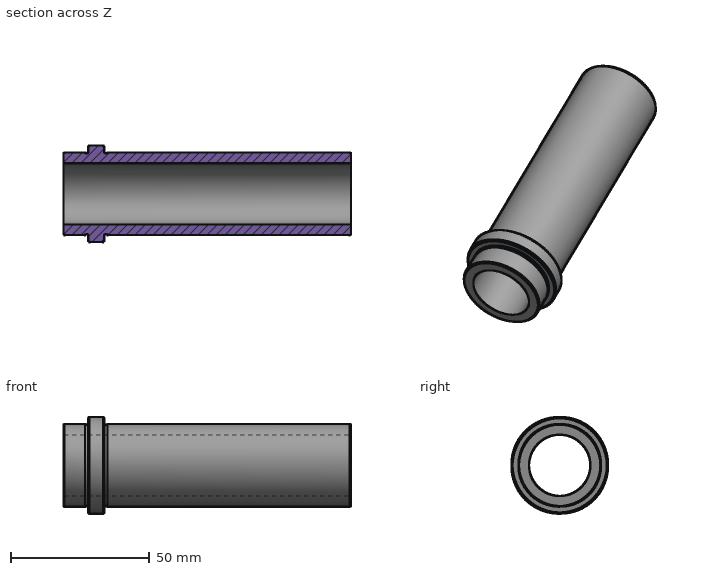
import cadquery as cq

length = 104.0
bore_diameter = 22.0
body_diameter = 30.0
collar_diameter = 35.0

collar_start = 8.9
collar_end = 14.9

groove_depth = 0.3
spigot_groove_width = 1.0
body_groove_width = 1.1

spigot_chamfer = 0.4
collar_chamfer = 0.5
tip_chamfer_length = 0.6
tip_chamfer_height = 0.3

start_x = -length / 2
end_x = length / 2


def cylinder(x_from, x_to, diameter):
    """Solid cylinder about the X axis."""
    return cq.Workplane("YZ", origin=(x_from, 0, 0)).circle(diameter / 2).extrude(x_to - x_from)


def relief_groove(x_collar, x_outer):
    """Revolved groove with a concave arc floor between the collar face and its outer edge."""
    surface_radius = body_diameter / 2
    x_middle = (x_collar + x_outer) / 2
    return (
        cq.Workplane("XY")
        .moveTo(x_collar, surface_radius)
        .threePointArc((x_middle, surface_radius - groove_depth), (x_outer, surface_radius))
        .close()
        .revolve(360, (0, 0, 0), (1, 0, 0))
    )


body = cylinder(start_x, end_x, body_diameter)
body = body.faces("<X").chamfer(spigot_chamfer)
body = body.faces(">X").edges().chamfer(tip_chamfer_length, tip_chamfer_height)

collar_start_x = start_x + collar_start
collar_end_x = start_x + collar_end
body = body.cut(relief_groove(collar_start_x, collar_start_x - spigot_groove_width))
body = body.cut(relief_groove(collar_end_x, collar_end_x + body_groove_width))

collar = cylinder(collar_start_x, collar_end_x, collar_diameter)
collar = collar.faces("<X or >X").chamfer(collar_chamfer)

bore = cylinder(start_x, end_x, bore_diameter)
result = body.union(collar).cut(bore)